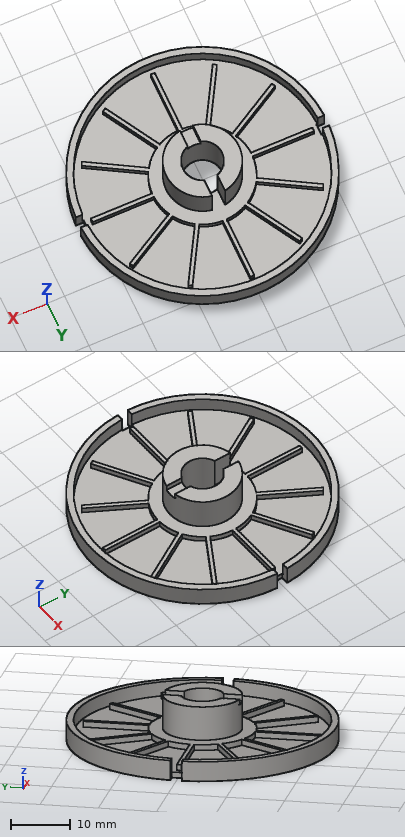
import cadquery as cq

disc_radius = 22.95
rim_inner_radius = 21.7
floor_thickness = 1.0
rim_height = 3.5

shoulder_radius = 9.15
shoulder_height = 2 * floor_thickness
hub_radius = 6.7
hub_height = 7.9
bore_diameter = 7.2

rib_count = 12
rib_width = 0.75
rib_end_radius = 20.43

hub_slot_width = 2.4
shallow_slot_depth = 1.0
rim_slot_width = 2.0
rim_slot_inner_radius = 21.5


def cylinder(radius, height):
    return cq.Workplane("XY").circle(radius).extrude(height)


def block(x_range, y_range, z_range):
    """Box spanning the given (low, high) limits along each axis."""
    low, high = zip(x_range, y_range, z_range)
    size = [top - bottom for bottom, top in zip(low, high)]
    return cq.Workplane("XY").box(*size, centered=False).translate(low)


def across(width):
    """Limits of a width centred on the axis."""
    return (-width / 2, width / 2)


def make_dish():
    rim_cavity = cylinder(rim_inner_radius, rim_height).translate((0, 0, floor_thickness))
    return cylinder(disc_radius, rim_height).cut(rim_cavity)


def add_ribs(body):
    rib = block((hub_radius, rib_end_radius), across(rib_width), (0, shoulder_height))
    for index in range(rib_count):
        angle = index * 360 / rib_count
        body = body.union(rib.rotate((0, 0, 0), (0, 0, 1), angle))
    return body


def cut_hub_slots(body):
    deep_slot = block(across(hub_slot_width), (0, shoulder_radius), (shoulder_height, hub_height))
    shallow_slot = block(
        across(hub_slot_width),
        (-shoulder_radius, 0),
        (hub_height - shallow_slot_depth, hub_height),
    )
    return body.cut(deep_slot).cut(shallow_slot)


def cut_rim_slots(body):
    slot_ends = [(-disc_radius, -rim_slot_inner_radius), (rim_slot_inner_radius, disc_radius)]
    for x_range in slot_ends:
        body = body.cut(block(x_range, across(rim_slot_width), (0, rim_height)))
    return body


body = make_dish()
body = body.union(cylinder(shoulder_radius, shoulder_height))
body = body.union(cylinder(hub_radius, hub_height))
body = add_ribs(body)
body = body.cut(cylinder(bore_diameter / 2, hub_height))
body = cut_hub_slots(body)
result = cut_rim_slots(body)